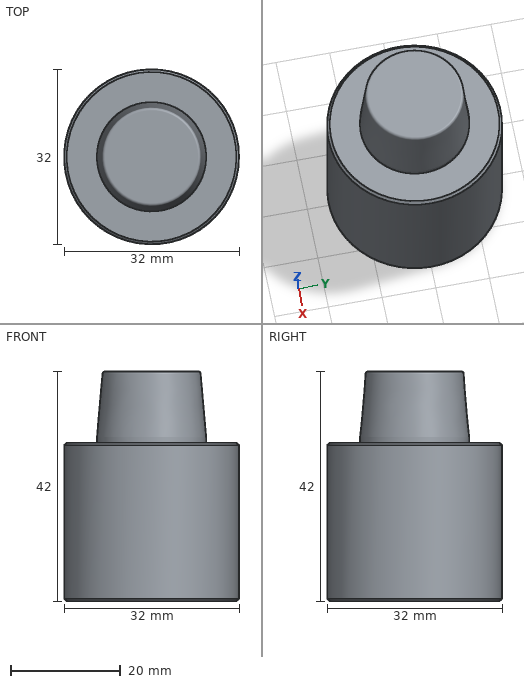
import cadquery as cq

total_height = 42.0
body_diameter = 32.0
body_height = 29.0
edge_chamfer = 0.5

nose_base_diameter = 20.0
nose_top_diameter = 17.9
nose_collar_height = 1.0
nose_top_round = 0.5

body_radius = body_diameter / 2
nose_base_radius = nose_base_diameter / 2
nose_top_radius = nose_top_diameter / 2


def make_body():
    """Plain cylinder with both rims chamfered."""
    body = cq.Workplane("XY").circle(body_radius).extrude(body_height)
    return body.faces("<Z or >Z").edges().chamfer(edge_chamfer)


def make_nose():
    """Short straight collar that tapers to a smaller, rounded top."""
    collar_top = body_height + nose_collar_height
    profile = (
        cq.Workplane("XZ")
        .moveTo(0, 0)
        .lineTo(nose_base_radius, 0)
        .lineTo(nose_base_radius, collar_top)
        .lineTo(nose_top_radius, total_height)
        .lineTo(0, total_height)
        .close()
    )
    nose = profile.revolve(360, (0, 0), (0, 1))
    return nose.faces(">Z").edges().fillet(nose_top_round)


result = make_body().union(make_nose())